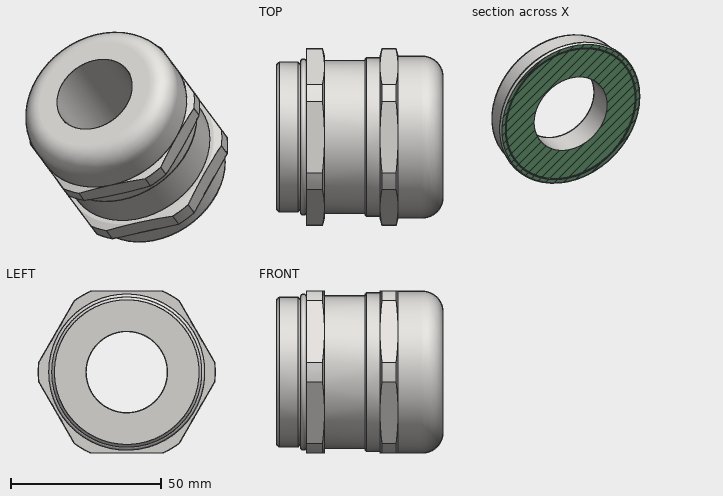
import cadquery as cq
import math


full_turn = 360

groove_start = 8.0
flange_start = 10.0
flange_end = 16.0
collar_start = 29.5
nut_start = 34.5
nut_end = 40.5
total_length = 55.5

bore_dia = 27.0
thread_dia = 50.0
thread_tip_dia = 48.16
groove_dia = thread_tip_dia
body_dia = 51.0
collar_dia = 52.92
cap_dia = 53.98

thread_chamfer_length = 1.0
thread_runout_length = 0.8
collar_chamfer = 0.5
dome_radius = 7.0

ring_section_radius = 1.0
ring_center_radius = 25.0

hex_sides = 6
across_flats = 54.0
corner_dia = 59.0
hex_chamfer_angle = 15.0


def turn(profile):
    """Revolve a closed X-radius profile about the X axis."""
    return profile.close().revolve(full_turn, (0, 0, 0), (1, 0, 0))


def make_body():
    """Solid turned blank: thread, groove, sleeve, collar and domed cap."""
    profile = (
        cq.Workplane("XY")
        .moveTo(0, 0)
        .lineTo(0, thread_tip_dia / 2)
        .lineTo(thread_chamfer_length, thread_dia / 2)
        .lineTo(groove_start - thread_runout_length, thread_dia / 2)
        .lineTo(groove_start, groove_dia / 2)
        .lineTo(flange_start, groove_dia / 2)
        .lineTo(flange_start, body_dia / 2)
        .lineTo(collar_start, body_dia / 2)
        .lineTo(collar_start, collar_dia / 2 - collar_chamfer)
        .lineTo(collar_start + collar_chamfer, collar_dia / 2)
        .lineTo(nut_end, collar_dia / 2)
        .lineTo(nut_end, cap_dia / 2)
        .lineTo(total_length - dome_radius, cap_dia / 2)
        .radiusArc((total_length, cap_dia / 2 - dome_radius), dome_radius)
        .lineTo(total_length, 0)
    )
    return turn(profile)


def make_sealing_ring():
    """Round-section ring between the thread and the flange."""
    ring_x = flange_start - ring_section_radius
    return (
        cq.Workplane("XY")
        .center(ring_x, ring_center_radius)
        .circle(ring_section_radius)
        .revolve(full_turn, (0, -ring_center_radius, 0), (1, -ring_center_radius, 0))
    )


def make_hexagon(start, end, chamfer_start):
    """Hexagon with flats on +Z and -Z; the end face, and optionally the start face, is chamfered."""
    across_corners = across_flats / math.cos(math.pi / hex_sides)
    prism = (
        cq.Workplane("YZ")
        .workplane(offset=start)
        .polygon(hex_sides, across_corners)
        .extrude(end - start)
    )
    corner_radius = corner_dia / 2
    face_radius = across_flats / 2
    chamfer_length = (corner_radius - face_radius) * math.tan(math.radians(hex_chamfer_angle))

    envelope = cq.Workplane("XY").moveTo(start, 0)
    if chamfer_start:
        envelope = envelope.lineTo(start, face_radius).lineTo(start + chamfer_length, corner_radius)
    else:
        envelope = envelope.lineTo(start, corner_radius)
    envelope = (
        envelope
        .lineTo(end - chamfer_length, corner_radius)
        .lineTo(end, face_radius)
        .lineTo(end, 0)
    )
    return prism.intersect(turn(envelope))


def make_bore():
    """Through hole for the cable."""
    return cq.Workplane("YZ").circle(bore_dia / 2).extrude(total_length)


result = (
    make_body()
    .union(make_sealing_ring())
    .union(make_hexagon(flange_start, flange_end, chamfer_start=False))
    .union(make_hexagon(nut_start, nut_end, chamfer_start=True))
    .cut(make_bore())
)